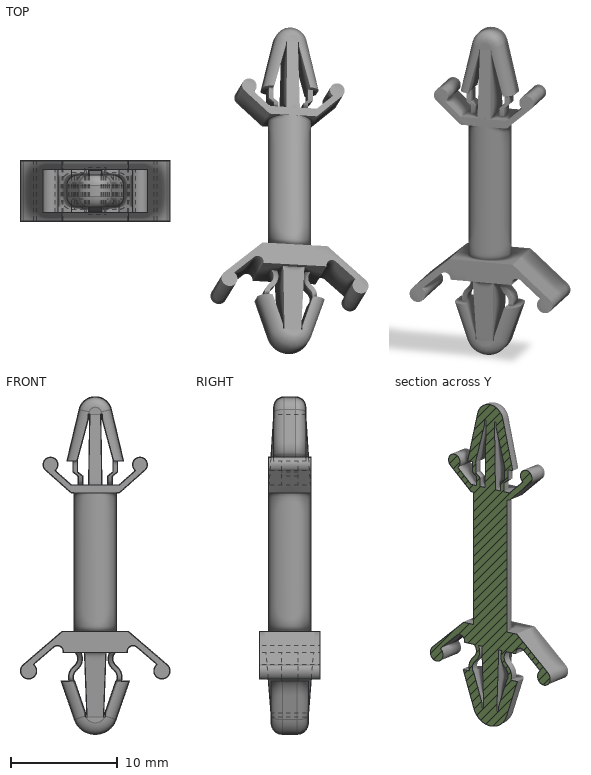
import cadquery as cq
import math

total_height = 31.6
lower_seat_z = 7.65
lower_plate_top = 9.65
upper_plate_bottom = 22.6
upper_seat_z = 23.35

post_diameter = 4.0

lower_clip_width = 5.7
lower_clip_span = 14.0
lower_top_half = 3.1
lower_bottom_half = 3.0
lower_wing_thickness = 0.6
lower_bead_radius = 0.75
lower_bead_z = 5.95
relief_radius = 0.55

upper_clip_width = post_diameter
upper_clip_span = 9.75
upper_plate_half = 2.25
upper_wing_thickness = 0.57
upper_bead_radius = 0.7
upper_bead_z = 25.25

spring_width = 1.52
spring_thickness = 0.45


def extrude_y(sketch, width):
    """Extrude an XZ outline symmetrically about the XZ plane."""
    return sketch.extrude(width / 2, both=True)


def polygon_y(points, width):
    return extrude_y(cq.Workplane("XZ").polyline(points).close(), width)


def both_sides(solid):
    return solid.union(solid.mirror("YZ"))


def tangent_angle(root, center, radius, side):
    """Direction of the line from root that touches the circle, turned left (+1) or right (-1)."""
    dx = center[0] - root[0]
    dz = center[1] - root[1]
    return math.atan2(dz, dx) + side * math.asin(radius / math.hypot(dx, dz))


def wing(root, bead, bead_radius, thickness, width, side):
    """Clip wing: a strip whose outer face runs from root tangent to the round bead at its end."""
    angle = tangent_angle(root, bead, bead_radius, side)
    length = math.sqrt((bead[0] - root[0]) ** 2 + (bead[1] - root[1]) ** 2 - bead_radius**2)
    inward = (side * math.sin(angle) * thickness, -side * math.cos(angle) * thickness)
    touch = (root[0] + math.cos(angle) * length, root[1] + math.sin(angle) * length)
    strip = polygon_y(
        [
            root,
            touch,
            (touch[0] + inward[0], touch[1] + inward[1]),
            (root[0] + inward[0], root[1] + inward[1]),
        ],
        width,
    )
    bead_roll = extrude_y(cq.Workplane("XZ").center(*bead).circle(bead_radius), width)
    return strip.union(bead_roll)


def lower_clip():
    root = (lower_top_half, lower_plate_top)
    bead = (lower_clip_span / 2 - lower_bead_radius, lower_bead_z)
    angle = tangent_angle(root, bead, lower_bead_radius, 1)
    relief_x = lower_bottom_half + relief_radius
    drop = (lower_wing_thickness + relief_radius) / math.cos(angle)
    relief_z = lower_plate_top + (relief_x - lower_top_half) * math.tan(angle) - drop
    touch_angle = angle + math.pi / 2

    def relief_point(direction):
        return (
            relief_x + relief_radius * math.cos(direction),
            relief_z + relief_radius * math.sin(direction),
        )

    touch = relief_point(touch_angle)
    arc_middle = relief_point((math.pi + touch_angle) / 2)
    wing_top = (
        touch[0] - lower_wing_thickness * math.sin(angle),
        touch[1] + lower_wing_thickness * math.cos(angle),
    )
    half_plate = extrude_y(
        cq.Workplane("XZ")
        .moveTo(0, lower_seat_z)
        .lineTo(lower_bottom_half, lower_seat_z)
        .lineTo(lower_bottom_half, relief_z)
        .threePointArc(arc_middle, touch)
        .lineTo(*wing_top)
        .lineTo(*root)
        .lineTo(0, lower_plate_top)
        .close(),
        lower_clip_width,
    )
    wing_strip = wing(wing_top, bead, lower_bead_radius, lower_wing_thickness, lower_clip_width, 1)
    return both_sides(half_plate.union(wing_strip))


def upper_clip():
    root = (upper_plate_half, upper_plate_bottom)
    bead = (upper_clip_span / 2 - upper_bead_radius, upper_bead_z)
    plate = polygon_y(
        [
            (-upper_plate_half, upper_plate_bottom),
            root,
            (upper_plate_half, upper_seat_z),
            (-upper_plate_half, upper_seat_z),
        ],
        upper_clip_width,
    )
    wing_strip = wing(root, bead, upper_bead_radius, upper_wing_thickness, upper_clip_width, -1)
    return plate.union(both_sides(wing_strip))


def arrowhead(
    length, nose_radius, depth, edge_radius, barb_z, barb_half, inner_half, gap_half, throat_z, gap_z
):
    """Barbed head pointing up from a seat at Z = 0; the gap leaves two barbs joined at the nose."""
    nose_center = length - nose_radius
    angle = tangent_angle((barb_half, barb_z), (0, nose_center), nose_radius, -1) - math.pi / 2
    shoulder_x = nose_radius * math.cos(angle)
    shoulder_z = nose_center + nose_radius * math.sin(angle)
    head = extrude_y(
        cq.Workplane("XZ")
        .moveTo(-barb_half, barb_z)
        .lineTo(barb_half, barb_z)
        .lineTo(shoulder_x, shoulder_z)
        .threePointArc((0, length), (-shoulder_x, shoulder_z))
        .close(),
        depth,
    )
    head = head.faces("<Y or >Y").edges("not <Z").fillet(edge_radius)
    gap = polygon_y(
        [
            (-inner_half, barb_z),
            (-gap_half, throat_z),
            (-gap_half, gap_z),
            (gap_half, gap_z),
            (gap_half, throat_z),
            (inner_half, barb_z),
        ],
        depth,
    )
    return head.cut(gap)


def blade(height, base, tip):
    """Central tapered blade from the seat to the underside of the nose; base and tip are X by Y sizes."""
    return cq.Workplane("XY").rect(*base).workplane(offset=height).rect(*tip).loft()


def jogged_spring(barb_z):
    """Pair of thin strips, each with one straight outward jog."""
    inner_x = 1.17
    jog = 0.47
    jog_start = 0.82
    jog_end = 1.2
    inner = [(inner_x, 0), (inner_x, jog_start), (inner_x + jog, jog_end), (inner_x + jog, barb_z)]
    outer = [(x + spring_thickness, z) for x, z in reversed(inner)]
    return both_sides(polygon_y(inner + outer, spring_width))


def curved_spring(barb_z):
    """Pair of thin S-shaped strips: an inward bend, a 45 degree straight and an outward bend."""
    bend_radius = 1.05
    closest_x = 1.42
    closest_z = 0.57
    straight = 0.35
    diagonal = math.sqrt(0.5)
    bend_in = (closest_x + bend_radius, closest_z)
    bend_out = (
        bend_in[0] + (straight - 2 * bend_radius) * diagonal,
        bend_in[1] + (straight + 2 * bend_radius) * diagonal,
    )

    def face_points(offset):
        """Points on one face of the strip, from the seat to the barb; a positive offset faces the axis."""
        radius_in = bend_radius + offset
        radius_out = bend_radius - offset
        start = (bend_in[0] - math.sqrt(radius_in**2 - bend_in[1] ** 2), 0)
        closest = (bend_in[0] - radius_in, bend_in[1])
        straight_start = (bend_in[0] - radius_in * diagonal, bend_in[1] + radius_in * diagonal)
        straight_end = (bend_out[0] + radius_out * diagonal, bend_out[1] - radius_out * diagonal)
        farthest = (bend_out[0] + radius_out, bend_out[1])
        end = (bend_out[0] + math.sqrt(radius_out**2 - (barb_z - bend_out[1]) ** 2), barb_z)
        return start, closest, straight_start, straight_end, farthest, end

    inner = face_points(spring_thickness / 2)
    outer = face_points(-spring_thickness / 2)
    strip = (
        cq.Workplane("XZ")
        .moveTo(*inner[0])
        .threePointArc(inner[1], inner[2])
        .lineTo(*inner[3])
        .threePointArc(inner[4], inner[5])
        .lineTo(*outer[5])
        .threePointArc(outer[4], outer[3])
        .lineTo(*outer[2])
        .threePointArc(outer[1], outer[0])
        .close()
    )
    return both_sides(extrude_y(strip, spring_width))


def upper_latch():
    barb_z = 2.2
    gap_z = 6.6
    depth = 3.0
    head = arrowhead(
        length=total_height - upper_seat_z,
        nose_radius=1.55,
        depth=depth,
        edge_radius=0.98,
        barb_z=barb_z,
        barb_half=2.65,
        inner_half=1.7,
        gap_half=0.63,
        throat_z=6.2,
        gap_z=gap_z,
    )
    core = blade(gap_z, base=(1.25, 3.85), tip=(1.05, depth))
    return head.union(core).union(jogged_spring(barb_z))


def lower_latch():
    barb_z = 2.65
    gap_z = 6.0
    depth = 3.48
    head = arrowhead(
        length=lower_seat_z,
        nose_radius=2.05,
        depth=depth,
        edge_radius=1.07,
        barb_z=barb_z,
        barb_half=3.2,
        inner_half=1.93,
        gap_half=0.92,
        throat_z=5.62,
        gap_z=gap_z,
    )
    core = blade(gap_z, base=(2.02, 4.42), tip=(1.58, depth))
    return head.union(core).union(curved_spring(barb_z))


post = (
    cq.Workplane("XY")
    .workplane(offset=lower_plate_top)
    .circle(post_diameter / 2)
    .extrude(upper_plate_bottom - lower_plate_top)
)

result = (
    post.union(lower_clip())
    .union(upper_clip())
    .union(upper_latch().translate((0, 0, upper_seat_z)))
    .union(lower_latch().rotate((0, 0, 0), (0, 1, 0), 180).translate((0, 0, lower_seat_z)))
)